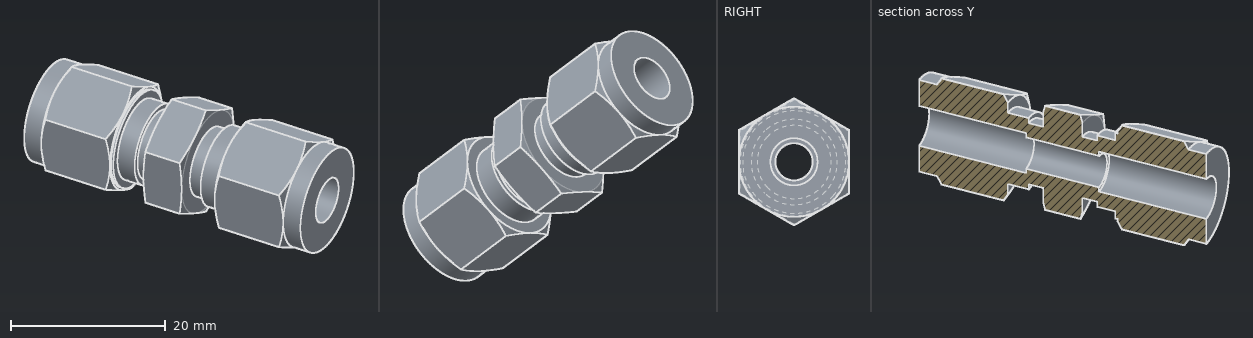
import cadquery as cq
import math


LENGTH = 41.0
COLLAR_LENGTH = 2.55
NUT_HEX_LENGTH = 10.15
NUT_LIP_LENGTH = 0.33
NECK_START = 15.6
BODY_HEX_START = 17.67
BODY_HEX_END = 23.33
NECK_END = 25.35

LEFT_NUT_FLATS = 14.0
RIGHT_NUT_FLATS = 14.25
BODY_HEX_FLATS = 14.0

NUT_CHAMFER_ANGLE = 30.0
BODY_CHAMFER_ANGLE = 15.0

LIP_DIAMETER = 13.32
SHOULDER_DIAMETER = 11.1
NECK_DIAMETER = 9.55

BORE_DIAMETER = 4.8
SOCKET_DIAMETER = 6.1
SOCKET_DEPTH = 15.3


def cylinder(diameter, start, end):
    """Cylinder on the X axis between two stations."""
    return cq.Workplane("YZ", origin=(start, 0, 0)).circle(diameter / 2).extrude(end - start)


def chamfered_hexagon(flats, start, end, chamfer_angle):
    """Hexagonal prism on the X axis, corners up and down, with both ends turned to a cone."""
    corners = flats / math.cos(math.radians(30))
    prism = (
        cq.Workplane("YZ", origin=(start, 0, 0))
        .transformed(rotate=(0, 0, 90))
        .polygon(6, corners)
        .extrude(end - start)
    )
    face_radius = flats / 2
    outer_radius = flats
    cone_depth = (outer_radius - face_radius) * math.tan(math.radians(chamfer_angle))
    turned_envelope = (
        cq.Workplane("XY")
        .moveTo(start, 0)
        .lineTo(start, face_radius)
        .lineTo(start + cone_depth, outer_radius)
        .lineTo(end - cone_depth, outer_radius)
        .lineTo(end, face_radius)
        .lineTo(end, 0)
        .close()
        .revolve(360, (0, 0, 0), (1, 0, 0))
    )
    return prism.intersect(turned_envelope)


def nut_hexagon(flats, start):
    """Hexagon of a nut, starting at the given station."""
    return chamfered_hexagon(flats, start, start + NUT_HEX_LENGTH, NUT_CHAMFER_ANGLE)


left_shoulder = cylinder(SHOULDER_DIAMETER, 0, NECK_START)
neck = cylinder(NECK_DIAMETER, NECK_START, NECK_END)
right_shoulder = cylinder(SHOULDER_DIAMETER, NECK_END, LENGTH)
body_hexagon = chamfered_hexagon(BODY_HEX_FLATS, BODY_HEX_START, BODY_HEX_END, BODY_CHAMFER_ANGLE)
body = left_shoulder.union(neck).union(right_shoulder).union(body_hexagon)

left_hex_end = COLLAR_LENGTH + NUT_HEX_LENGTH
left_collar = cylinder(LEFT_NUT_FLATS, 0, COLLAR_LENGTH)
left_lip = cylinder(LIP_DIAMETER, left_hex_end, left_hex_end + NUT_LIP_LENGTH)
left_nut = left_collar.union(nut_hexagon(LEFT_NUT_FLATS, COLLAR_LENGTH)).union(left_lip)

right_hex_end = LENGTH - COLLAR_LENGTH
right_collar = cylinder(RIGHT_NUT_FLATS, right_hex_end, LENGTH)
right_nut = right_collar.union(nut_hexagon(RIGHT_NUT_FLATS, right_hex_end - NUT_HEX_LENGTH))

bore = cylinder(BORE_DIAMETER, 0, LENGTH)
left_socket = cylinder(SOCKET_DIAMETER, 0, SOCKET_DEPTH)
right_socket = cylinder(SOCKET_DIAMETER, LENGTH - SOCKET_DEPTH, LENGTH)
passage = bore.union(left_socket).union(right_socket)

result = body.union(left_nut).union(right_nut).cut(passage)

result = result.translate((-LENGTH / 2, 0, 0))